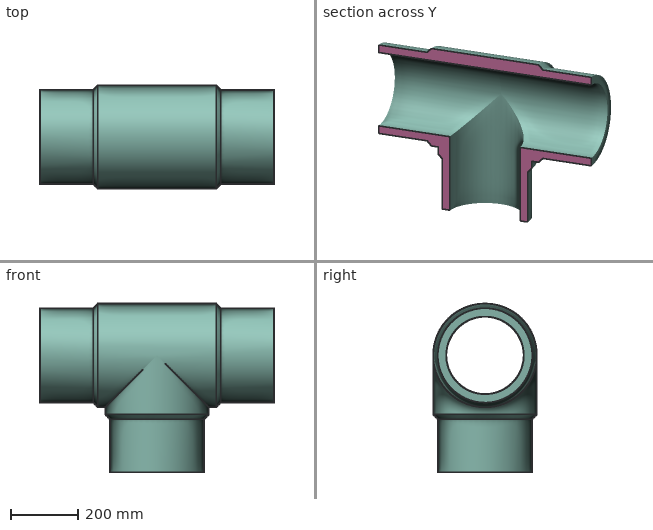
import cadquery as cq

PIPE_DIAMETER = 280.0
COLLAR_DIAMETER = 308.0
BORE_DIAMETER = 229.2
ARM_LENGTH = 347.0
COLLAR_LENGTH = 189.0

COLLAR_BEVEL = (COLLAR_DIAMETER - PIPE_DIAMETER) / 2

ARM_DIRECTIONS = [(-1, 0, 0), (1, 0, 0), (0, 0, -1)]


def aim(body, direction):
    """Swing a body built along +Y so that it points along direction."""
    build_axis = cq.Vector(0, 1, 0)
    swing_axis = build_axis.cross(cq.Vector(direction))
    return body.rotate((0, 0, 0), swing_axis.toTuple(), 90)


def solid_arm(direction):
    """Unbored arm from the tee centre: thick collar, bevel, then pipe spigot."""
    pipe_radius = PIPE_DIAMETER / 2
    collar_radius = COLLAR_DIAMETER / 2
    half_section = [
        (0, 0),
        (collar_radius, 0),
        (collar_radius, COLLAR_LENGTH - COLLAR_BEVEL),
        (pipe_radius, COLLAR_LENGTH),
        (pipe_radius, ARM_LENGTH),
        (0, ARM_LENGTH),
    ]
    arm = cq.Workplane("XY").polyline(half_section).close().revolve(360, (0, 0), (0, 1))
    return aim(arm, direction)


def arm_bore(direction):
    """Bore from the tee centre out through the open end of one arm."""
    bore = cq.Workplane("XZ").circle(BORE_DIAMETER / 2).extrude(-ARM_LENGTH)
    return aim(bore, direction)


def pipe_tee():
    """Join the three arms, then bore them so that the passages meet inside."""
    tee = solid_arm(ARM_DIRECTIONS[0])
    for direction in ARM_DIRECTIONS[1:]:
        tee = tee.union(solid_arm(direction))
    for direction in ARM_DIRECTIONS:
        tee = tee.cut(arm_bore(direction))
    return tee.clean()


result = pipe_tee()